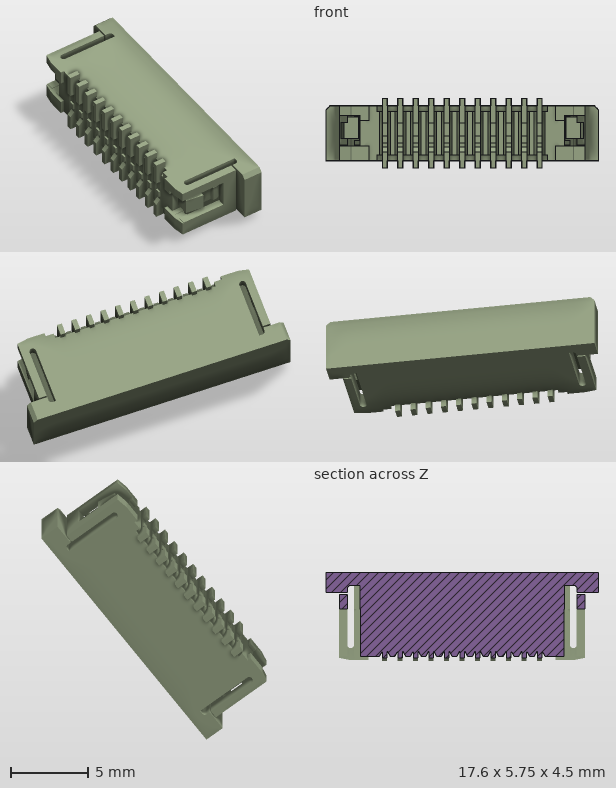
import cadquery as cq


LENGTH = 17.6
DEPTH = 5.75
HEIGHT = 4.5
BACK_Y = DEPTH / 2
FRONT_Y = -DEPTH / 2

BODY_HALF_LENGTH = 7.94
BODY_HALF_HEIGHT = 1.78
FLANGE_DEPTH = 1.32
FLANGE_CHAMFER = 0.26
FLANGE_Y = BACK_Y - FLANGE_DEPTH
FLANGE_GAP = 0.1
FACE_Y = -2.59

LUG_FRONT_Y = -2.82
LUG_CORNER_Y = -2.68
LUG_TAPER_X = 7.2
LUG_INNER_X = 6.04
LUG_INNER_Z = 0.81

BAY_HALF_LENGTH = 5.5
BAY_Y = -2.25
RIB_HALF_HEIGHT = 1.4

SLOT_OUTER_X = 7.41
SLOT_INNER_X = 6.97
SLOT_WIDTH = SLOT_OUTER_X - SLOT_INNER_X
SLOT_BACK_Y = 2.0
SLOT_FRONT_Y = -2.05

WINDOW_BACK_Y = 0.5
WINDOW_INNER_X = 6.6
WINDOW_TOP_Z = 1.15
WINDOW_BOTTOM_Z = -0.77
SEAT_INNER_X = 6.64
SEAT_TOP_Z = 1.1
SEAT_BOTTOM_Z = -0.45

LATCH_INNER_X = 6.69
LATCH_FRONT_Y = -2.22
LATCH_TOP_Z = 1.04
LATCH_BOTTOM_Z = -0.35
HOOK_TOP_Z = 0.7
HOOK_TIP_X = 7.64
HOOK_HEEL_X = 7.81
HOOK_BACK_Y = -0.99
BUMP_X = 7.59
BUMP_FRONT_Y = -0.15
BUMP_CREST_FRONT_Y = -0.05
BUMP_CREST_BACK_Y = 0.23

CONTACT_COUNT = 11
CONTACT_ROW_LENGTH = 10.0
CONTACT_PITCH = CONTACT_ROW_LENGTH / (CONTACT_COUNT - 1)
CONTACT_WIDTH = 0.33
CONTACT_BACK_Y = -2.15
NOTCH_Y = -2.57
NOTCH_TOP_Z = 0.67
BEAD_Y = -2.7
BEAD_TOP_Z = -0.18
BEAD_BOTTOM_Z = -0.62
NOTCH_BOTTOM_Z = -0.88
RAMP_BOTTOM_Z = -1.2

RIB_ROOT_WIDTH = CONTACT_PITCH - CONTACT_WIDTH
RIB_TIP_WIDTH = 0.3


def box(x0, x1, y0, y1, z0, z1):
    """Box between two opposite corners."""
    return cq.Workplane("XY").box(x1 - x0, y1 - y0, z1 - z0, centered=False).translate((x0, y0, z0))


def prism(points, z0, z1):
    """Outline in the XY plane, raised from z0 to z1."""
    return cq.Workplane("XY").workplane(offset=z0).polyline(points).close().extrude(z1 - z0)


def both_ends(shape):
    """The shape together with its mirror image at the +X end."""
    return shape.union(shape.mirror("YZ"))


def make_flange():
    flange = box(-LENGTH / 2, LENGTH / 2, FLANGE_Y, BACK_Y, -BODY_HALF_HEIGHT, BODY_HALF_HEIGHT)
    return flange.edges("|Y and >Z").chamfer(FLANGE_CHAMFER)


def make_body():
    half = prism(
        [
            (0, FLANGE_Y),
            (-BODY_HALF_LENGTH, FLANGE_Y),
            (-BODY_HALF_LENGTH, LUG_CORNER_Y),
            (-LUG_TAPER_X, LUG_FRONT_Y),
            (-LUG_INNER_X, LUG_FRONT_Y),
            (-LUG_INNER_X, FACE_Y),
            (-BAY_HALF_LENGTH, FACE_Y),
            (-BAY_HALF_LENGTH, BAY_Y),
            (0, BAY_Y),
        ],
        -BODY_HALF_HEIGHT,
        BODY_HALF_HEIGHT,
    )
    return both_ends(half)


def make_lug_gap():
    """Space between the upper and lower lugs, in front of the main face."""
    return box(-BODY_HALF_LENGTH, BODY_HALF_LENGTH, FRONT_Y, FACE_Y, -LUG_INNER_Z, LUG_INNER_Z)


def make_slot():
    """Full-height slot, open to the side behind the arm through a narrow gap."""
    radius = SLOT_WIDTH / 2
    middle_x = -(SLOT_OUTER_X + SLOT_INNER_X) / 2
    corner = 0.5 ** 0.5
    slot = (
        cq.Workplane("XY")
        .workplane(offset=-BODY_HALF_HEIGHT)
        .moveTo(-SLOT_INNER_X, SLOT_BACK_Y)
        .lineTo(middle_x, SLOT_BACK_Y)
        .threePointArc(
            (middle_x - radius * corner, SLOT_BACK_Y - radius * (1 - corner)),
            (-SLOT_OUTER_X, SLOT_BACK_Y - radius),
        )
        .lineTo(-SLOT_OUTER_X, SLOT_FRONT_Y + radius)
        .threePointArc((middle_x, SLOT_FRONT_Y), (-SLOT_INNER_X, SLOT_FRONT_Y + radius))
        .close()
        .extrude(2 * BODY_HALF_HEIGHT)
    )
    gap = box(
        -BODY_HALF_LENGTH,
        -SLOT_OUTER_X,
        FLANGE_Y - FLANGE_GAP,
        FLANGE_Y,
        -BODY_HALF_HEIGHT,
        BODY_HALF_HEIGHT,
    )
    return slot.union(gap)


def make_window():
    """Window in the side, open to the front, with a latch seat beside the slot behind its back wall."""
    window = box(
        -BODY_HALF_LENGTH, -WINDOW_INNER_X, FRONT_Y, WINDOW_BACK_Y, WINDOW_BOTTOM_Z, WINDOW_TOP_Z
    )
    seat = box(-SLOT_INNER_X, -SEAT_INNER_X, WINDOW_BACK_Y, SLOT_BACK_Y, SEAT_BOTTOM_Z, SEAT_TOP_Z)
    channel = box(
        -SLOT_OUTER_X, -SLOT_INNER_X, FACE_Y, SLOT_FRONT_Y + SLOT_WIDTH / 2, -LUG_INNER_Z, WINDOW_BOTTOM_Z
    )
    return window.union(seat).union(channel)


def make_latch():
    """Bar along the window and on into the slot behind it, with a hook and a bump on its outer side."""
    bar = box(
        -SLOT_OUTER_X, -LATCH_INNER_X, LATCH_FRONT_Y, SLOT_BACK_Y, LATCH_BOTTOM_Z, LATCH_TOP_Z
    )
    hook = prism(
        [
            (-LATCH_INNER_X, LATCH_FRONT_Y),
            (-HOOK_TIP_X, LATCH_FRONT_Y),
            (-HOOK_HEEL_X, HOOK_BACK_Y),
            (-LATCH_INNER_X, HOOK_BACK_Y),
        ],
        LATCH_BOTTOM_Z,
        HOOK_TOP_Z,
    )
    bump = prism(
        [
            (-LATCH_INNER_X, BUMP_FRONT_Y),
            (-SLOT_OUTER_X, BUMP_FRONT_Y),
            (-BUMP_X, BUMP_CREST_FRONT_Y),
            (-BUMP_X, BUMP_CREST_BACK_Y),
            (-SLOT_OUTER_X, WINDOW_BACK_Y),
            (-LATCH_INNER_X, WINDOW_BACK_Y),
        ],
        LATCH_BOTTOM_Z,
        HOOK_TOP_Z,
    )
    return bar.union(hook).union(bump)


def make_contact(x):
    """Flat contact standing in front of the bay, with a stepped notch in its front edge."""
    return (
        cq.Workplane("YZ")
        .polyline(
            [
                (CONTACT_BACK_Y, HEIGHT / 2),
                (FRONT_Y, HEIGHT / 2),
                (FRONT_Y, NOTCH_TOP_Z),
                (NOTCH_Y, NOTCH_TOP_Z),
                (NOTCH_Y, BEAD_TOP_Z),
                (BEAD_Y, BEAD_TOP_Z),
                (BEAD_Y, BEAD_BOTTOM_Z),
                (NOTCH_Y, BEAD_BOTTOM_Z),
                (NOTCH_Y, NOTCH_BOTTOM_Z),
                (FRONT_Y, RAMP_BOTTOM_Z),
                (FRONT_Y, -HEIGHT / 2),
                (CONTACT_BACK_Y, -HEIGHT / 2),
            ]
        )
        .close()
        .extrude(CONTACT_WIDTH / 2, both=True)
        .translate((x, 0, 0))
    )


def make_rib(x):
    """Tapered rib beside a contact."""
    return prism(
        [
            (x - RIB_ROOT_WIDTH / 2, BAY_Y),
            (x - RIB_TIP_WIDTH / 2, FACE_Y),
            (x + RIB_TIP_WIDTH / 2, FACE_Y),
            (x + RIB_ROOT_WIDTH / 2, BAY_Y),
        ],
        -RIB_HALF_HEIGHT,
        RIB_HALF_HEIGHT,
    )


first_contact_x = -CONTACT_ROW_LENGTH / 2
first_rib_x = first_contact_x - CONTACT_PITCH / 2

ribs = make_rib(first_rib_x)
for i in range(1, CONTACT_COUNT + 1):
    ribs = ribs.union(make_rib(first_rib_x + i * CONTACT_PITCH))

result = make_body().union(make_flange()).cut(make_lug_gap())
result = result.cut(both_ends(make_slot())).cut(both_ends(make_window()))
result = result.union(both_ends(make_latch())).union(ribs)
for i in range(CONTACT_COUNT):
    result = result.union(make_contact(first_contact_x + i * CONTACT_PITCH))